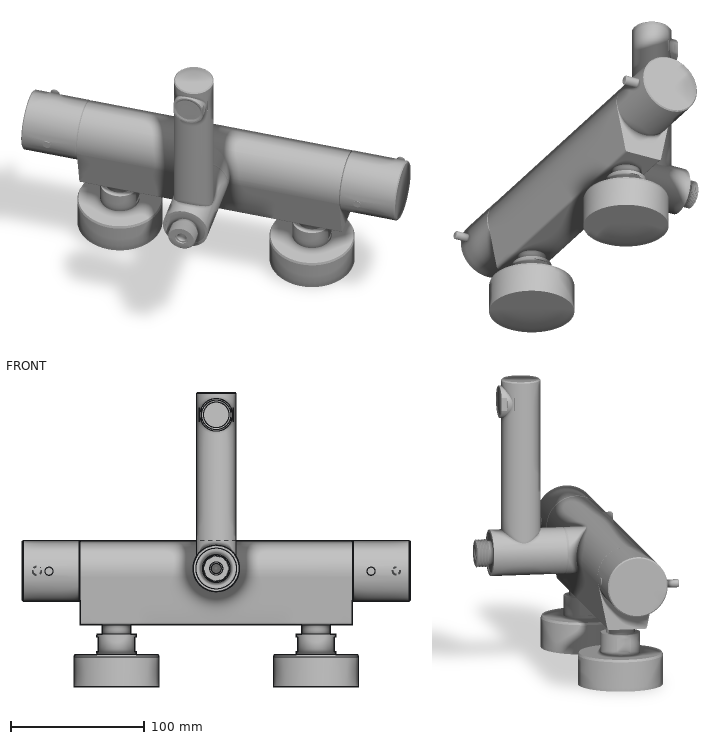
import cadquery as cq
import math


overall_length = 291.3
barrel_length = 204.5
barrel_diameter = 45.5
barrel_radius = barrel_diameter / 2
handle_length = (overall_length - barrel_length) / 2
handle_diameter = 45.7
handle_edge = 1.0

skirt_depth = 40.5
skirt_bottom_half_width = 15.0
skirt_edge_radius = 1.7

lever_edge = 0.5
left_lever_diameter = 7.0
left_lever_x = -134.5
left_lever_reach = 33.5
right_lever_diameter = 6.0
right_lever_x = 135.2
right_lever_reach = 33.0
button_diameter = 6.0
button_height = 0.3
button_z = -0.3
left_button_x = -125.5
right_button_x = 116.2

union_spacing = 149.7
neck_diameter = 21.5
nut_diameter = 29.7
nut_top_z = -47.5
nut_flat_size = 10.8
flange_diameter = 64.0
flange_top_diameter = 62.5
flange_top_z = -63.0
flange_bottom_z = -87.0
flange_edge_height = 1.7

arm_diameter = 35.0
arm_z = 1.7
joint_y = -28.8
joint_edge_length = 1.0
joint_edge_depth = 0.3
arm_end_y = -85.7
end_recess_diameter = 30.5
end_recess_depth = 1.0

hose_neck_diameter = 18.5
hose_thread_diameter = 21.0
hose_thread_start_y = -87.7
hose_end_y = -96.7
hose_mouth_diameter = 10.0
hose_mouth_depth = 1.2
hose_bore_diameter = 7.5
hose_bore_depth = 14.5
thread_turns = 8
thread_depth = 1.0

riser_diameter = 29.7
riser_y = -62.0
riser_top_z = 134.0
riser_edge = 1.0
outlet_diameter = 24.5
outlet_drop = 17.0
outlet_z = riser_top_z - outlet_drop
outlet_face_y = -78.7
outlet_rim_diameter = 22.0
outlet_recess_diameter = 19.2
outlet_recess_depth = 0.5
outlet_flat_height = 10.0
outlet_flat_length = 4.0
riser_notch_x = 12.5
riser_notch_offset = 7.0


def cylinder_x(diameter, start, end):
    """Cylinder on the body axis between two X positions."""
    return cq.Workplane("YZ", origin=(start, 0, 0)).circle(diameter / 2).extrude(end - start)


def cylinder_y(diameter, x, z, start, end):
    """Cylinder along Y, from the higher Y position, start, to the lower one, end."""
    return cq.Workplane("XZ", origin=(x, start, z)).circle(diameter / 2).extrude(start - end)


def cylinder_z(diameter, x, y, bottom, top):
    """Upright cylinder between two heights."""
    return cq.Workplane("XY", origin=(x, y, bottom)).circle(diameter / 2).extrude(top - bottom)


def make_skirt():
    corner_distance = math.hypot(skirt_bottom_half_width, skirt_depth)
    corner_angle = math.atan2(-skirt_depth, skirt_bottom_half_width)
    tangent_angle = corner_angle + math.acos(barrel_radius / corner_distance)
    tangent_y = barrel_radius * math.cos(tangent_angle)
    tangent_z = barrel_radius * math.sin(tangent_angle)
    return (
        cq.Workplane("YZ", origin=(-barrel_length / 2, 0, 0))
        .moveTo(-tangent_y, tangent_z)
        .lineTo(-skirt_bottom_half_width, -skirt_depth)
        .lineTo(skirt_bottom_half_width, -skirt_depth)
        .lineTo(tangent_y, tangent_z)
        .threePointArc((0, barrel_radius), (-tangent_y, tangent_z))
        .close()
        .extrude(barrel_length)
        .edges("|X and <Z")
        .fillet(skirt_edge_radius)
    )


def make_handle(side, button_x):
    inner_x = side * barrel_length / 2
    outer_x = inner_x + side * handle_length
    handle = cylinder_x(handle_diameter, min(inner_x, outer_x), max(inner_x, outer_x))
    handle = handle.faces("<X or >X").chamfer(handle_edge)
    button = cylinder_y(button_diameter, button_x, button_z, 0, -handle_diameter / 2 - button_height)
    return handle.union(button)


def make_lever(diameter, x, reach):
    return cylinder_y(diameter, x, 0, reach, 0).faces(">Y").chamfer(lever_edge)


def make_wall_union(x):
    neck = cylinder_z(neck_diameter, x, 0, nut_top_z, -skirt_depth)
    nut = cylinder_z(nut_diameter, x, 0, flange_top_z, nut_top_z)
    flat_x = math.sqrt((nut_diameter / 2) ** 2 - (nut_flat_size / 2) ** 2)
    nut_middle_z = (nut_top_z + flange_top_z) / 2
    for side in (-1, 1):
        flat_cutter = cq.Workplane("XY").box(nut_diameter, nut_flat_size, nut_flat_size)
        cutter_x = x + side * (flat_x + nut_diameter / 2)
        nut = nut.cut(flat_cutter.translate((cutter_x, 0, nut_middle_z)))
    flange_edge_width = (flange_diameter - flange_top_diameter) / 2
    flange = (
        cylinder_z(flange_diameter, x, 0, flange_bottom_z, flange_top_z)
        .faces(">Z")
        .chamfer(flange_edge_height, flange_edge_width)
    )
    return neck.union(nut).union(flange)


def make_mixer_body():
    body = make_skirt()
    stub = cylinder_y(arm_diameter, 0, arm_z, 0, joint_y)
    body = body.union(stub.faces("<Y").chamfer(joint_edge_length, joint_edge_depth))
    for side, button_x in ((-1, left_button_x), (1, right_button_x)):
        body = body.union(make_handle(side, button_x))
        body = body.union(make_wall_union(side * union_spacing / 2))
    body = body.union(make_lever(left_lever_diameter, left_lever_x, left_lever_reach))
    body = body.union(make_lever(right_lever_diameter, right_lever_x, right_lever_reach))
    return body


def make_hose_outlet():
    """Neck and thread turned about the arm's axis; each thread turn is a ring-shaped ridge."""
    neck_radius = hose_neck_diameter / 2
    crest_radius = hose_thread_diameter / 2
    root_radius = crest_radius - thread_depth
    pitch = (hose_thread_start_y - hose_end_y) / thread_turns
    neck_start_y = arm_end_y + end_recess_depth
    profile = cq.Workplane("XY").moveTo(0, neck_start_y).lineTo(neck_radius, neck_start_y)
    profile = profile.lineTo(neck_radius, hose_thread_start_y)
    for turn in range(thread_turns):
        turn_y = hose_thread_start_y - turn * pitch
        profile = profile.lineTo(root_radius, turn_y)
        profile = profile.lineTo(crest_radius, turn_y - pitch / 2)
    profile = profile.lineTo(root_radius, hose_end_y).lineTo(0, hose_end_y).close()
    return profile.revolve(360, (0, 0, 0), (0, 1, 0)).translate((0, 0, arm_z))


def make_water_outlet():
    """Short tube with a dished face and a wrench flat on each side."""
    outlet = cylinder_y(outlet_diameter, 0, outlet_z, riser_y, outlet_face_y)
    recess = (
        cq.Workplane("XZ", origin=(0, outlet_face_y, outlet_z))
        .circle(outlet_rim_diameter / 2)
        .workplane(offset=-outlet_recess_depth)
        .circle(outlet_recess_diameter / 2)
        .loft()
    )
    outlet = outlet.cut(recess)
    flat_x = math.sqrt((outlet_diameter / 2) ** 2 - (outlet_flat_height / 2) ** 2)
    for side in (-1, 1):
        flat_cutter = cq.Workplane("XY").box(outlet_diameter, outlet_flat_length, outlet_flat_height)
        cutter_x = side * (flat_x + outlet_diameter / 2)
        cutter_y = outlet_face_y + outlet_flat_length / 2
        outlet = outlet.cut(flat_cutter.translate((cutter_x, cutter_y, outlet_z)))
    return outlet


def cut_riser_notches(riser):
    """Shallow notches in the riser's wall beside the outlet, in line with its flats."""
    for side in (-1, 1):
        cutter = cq.Workplane("XY").box(riser_diameter, riser_diameter, outlet_flat_height)
        cutter_x = side * (riser_notch_x + riser_diameter / 2)
        cutter_y = riser_y - riser_notch_offset - riser_diameter / 2
        riser = riser.cut(cutter.translate((cutter_x, cutter_y, outlet_z)))
    return riser


def make_spout():
    arm = cylinder_y(arm_diameter, 0, arm_z, joint_y, arm_end_y)
    arm = arm.faces(">Y").chamfer(joint_edge_length, joint_edge_depth)
    recess_floor_y = arm_end_y + end_recess_depth
    arm = arm.cut(cylinder_y(end_recess_diameter, 0, arm_z, recess_floor_y, arm_end_y))
    riser = cylinder_z(riser_diameter, 0, riser_y, arm_z, riser_top_z)
    riser = riser.faces(">Z").chamfer(riser_edge)
    riser = cut_riser_notches(riser)
    spout = arm.union(riser).union(make_water_outlet()).union(make_hose_outlet())
    bore = cylinder_y(hose_bore_diameter, 0, arm_z, hose_end_y + hose_bore_depth, hose_end_y)
    mouth = cylinder_y(hose_mouth_diameter, 0, arm_z, hose_end_y + hose_mouth_depth, hose_end_y)
    return spout.cut(bore).cut(mouth)


mixer_body = make_mixer_body()
spout = make_spout()
result = cq.Compound.makeCompound([mixer_body.val(), spout.val()])